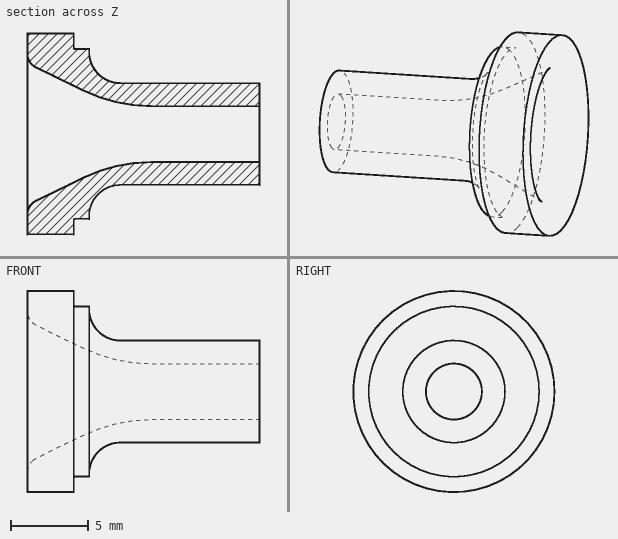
import cadquery as cq
import math


length = 15.0
flange_radius = 13.0 / 2
flange_thickness = 3.0
shoulder_radius = 11.0 / 2
shoulder_end = 4.0
tube_radius = 6.6 / 2
flare_radius = 2.0
shoulder_fillet = 0.1

bore_radius = 3.6 / 2
mouth_radius = 5.2
lip_rounding = 1.0
throat_rounding = 10.0
cone_half_angle = math.radians(26)


def arc_point(center_x, center_r, radius, angle):
    """Point on a rounding; angle 0 faces the axis, a quarter turn faces the mouth."""
    return (center_x - radius * math.sin(angle), center_r - radius * math.cos(angle))


def outer_body():
    """Solid of revolution of the outside: flange, shoulder, flare and tube."""
    fillet_center_x = flange_thickness + shoulder_fillet
    fillet_center_r = shoulder_radius + shoulder_fillet
    fillet_mid = arc_point(fillet_center_x, fillet_center_r, shoulder_fillet, math.pi / 4)
    flare_end = shoulder_end + flare_radius
    flare_top = tube_radius + flare_radius
    flare_mid = arc_point(flare_end, flare_top, flare_radius, math.pi / 4)
    profile = (
        cq.Workplane("XY")
        .moveTo(0, 0)
        .lineTo(0, flange_radius)
        .lineTo(flange_thickness, flange_radius)
        .lineTo(flange_thickness, fillet_center_r)
        .threePointArc(fillet_mid, (fillet_center_x, shoulder_radius))
        .lineTo(shoulder_end, shoulder_radius)
        .lineTo(shoulder_end, flare_top)
        .threePointArc(flare_mid, (flare_end, tube_radius))
        .lineTo(length, tube_radius)
        .lineTo(length, 0)
        .close()
    )
    return profile.revolve(360, (0, 0, 0), (1, 0, 0))


def bore():
    """Rounded lip, cone and rounded throat, all tangent, running into a straight bore."""
    lip_center = (lip_rounding, mouth_radius)
    lip_mid_angle = (math.pi / 2 + cone_half_angle) / 2
    cone_start = arc_point(*lip_center, lip_rounding, cone_half_angle)

    throat_center_r = bore_radius + throat_rounding
    cone_end_r = throat_center_r - throat_rounding * math.cos(cone_half_angle)
    cone_end_x = cone_start[0] + (cone_start[1] - cone_end_r) / math.tan(cone_half_angle)
    throat_center_x = cone_end_x + throat_rounding * math.sin(cone_half_angle)
    throat_mid = arc_point(throat_center_x, throat_center_r, throat_rounding, cone_half_angle / 2)

    profile = (
        cq.Workplane("XY")
        .moveTo(0, 0)
        .lineTo(0, mouth_radius)
        .threePointArc(arc_point(*lip_center, lip_rounding, lip_mid_angle), cone_start)
        .lineTo(cone_end_x, cone_end_r)
        .threePointArc(throat_mid, (throat_center_x, bore_radius))
        .lineTo(length, bore_radius)
        .lineTo(length, 0)
        .close()
    )
    return profile.revolve(360, (0, 0, 0), (1, 0, 0))


result = outer_body().cut(bore())